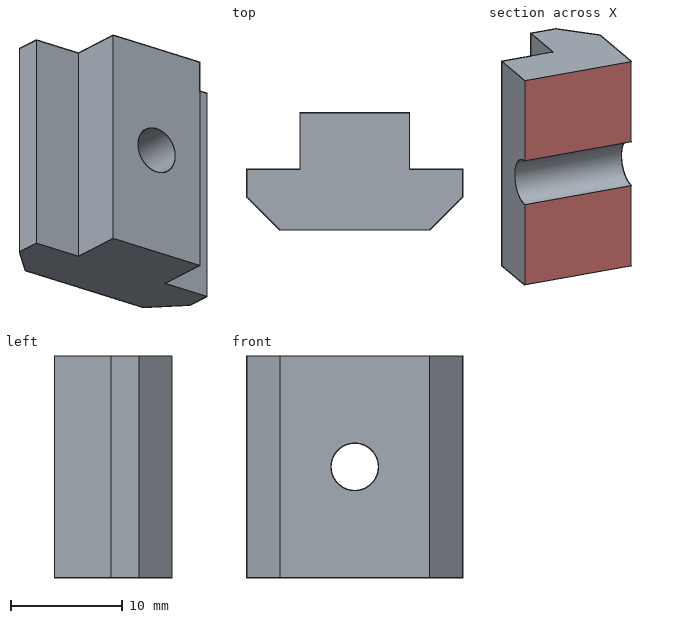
import cadquery as cq

length = 20.0
head_width = 19.5
total_depth = 10.6
head_depth = 5.5
stem_width = 9.9
chamfer = 3.0
hole_diameter = 4.25

stem_depth = total_depth - head_depth


def make_head():
    """Wide block with its front face at Y = 0 and its two front edges bevelled."""
    block = cq.Workplane("XY").box(head_width, head_depth, length, centered=(True, False, True))
    return block.faces("<Y").edges("|Z").chamfer(chamfer)


def make_stem():
    """Narrow block standing on the back face of the head."""
    block = cq.Workplane("XY").box(stem_width, stem_depth, length, centered=(True, False, True))
    return block.translate((0, head_depth, 0))


def make_hole():
    """Cylinder through the full depth at the centre of the front face."""
    return cq.Workplane("XZ").circle(hole_diameter / 2).extrude(-total_depth)


result = make_head().union(make_stem()).cut(make_hole())